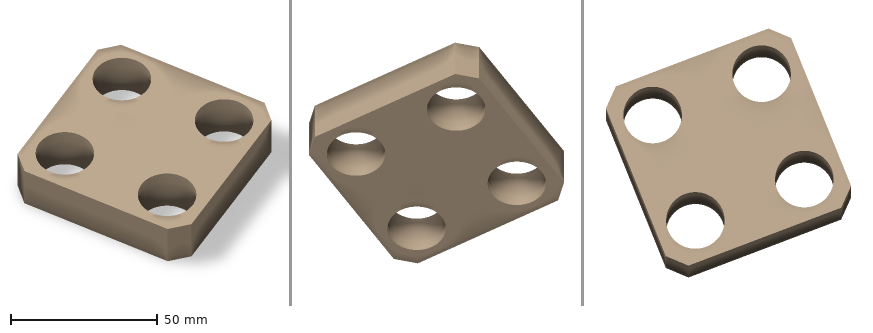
import cadquery as cq

side = 68.0
thickness = 16.0
corner_chamfer = 6.0

hole_diameter = 20.0
hole_spacing = 2 * hole_diameter

plate = (
    cq.Workplane("XY")
    .box(side, side, thickness)
    .edges("|Z")
    .chamfer(corner_chamfer)
)

result = (
    plate.faces(">Z")
    .workplane()
    .rarray(hole_spacing, hole_spacing, 2, 2)
    .hole(hole_diameter)
)